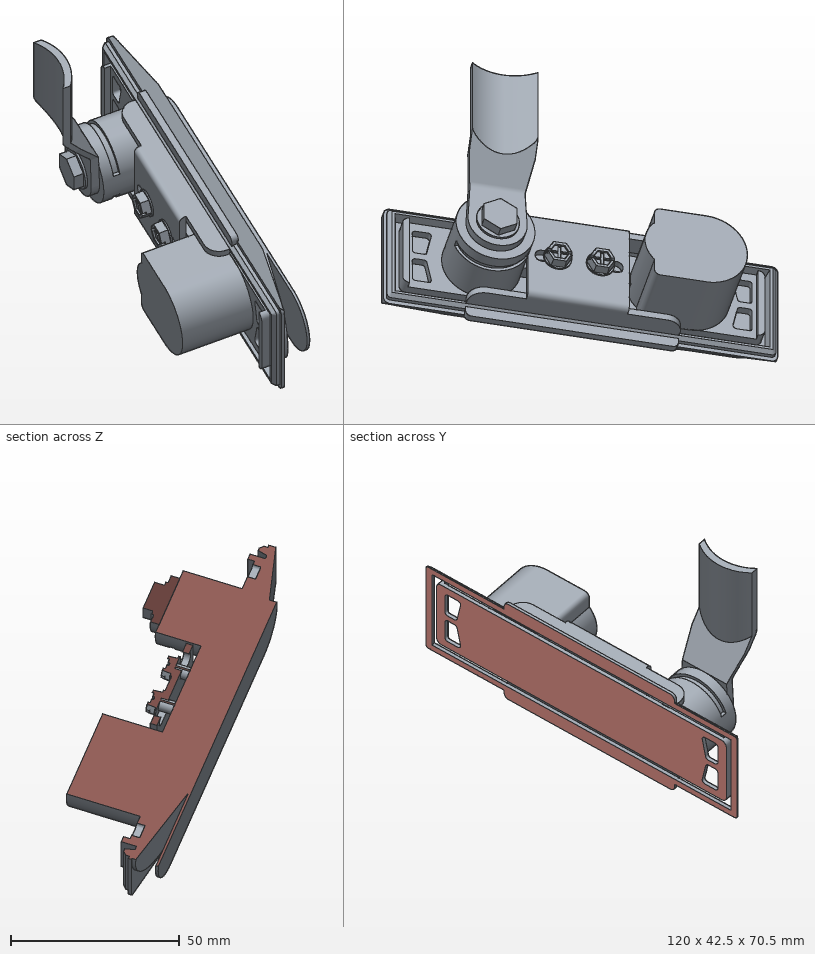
import cadquery as cq
import math


hex_sides = 6

plate_half_x = 60.0
plate_half_z = 18.0
plate_corner_radius = 2.0
lip_y = 2.3
rim_half_x = 59.15
rim_half_z = 16.65
rim_corner_radius = 1.2
rim_chamfer = 1.15
front_y = 9.8
front_left_x = -40.0
front_right_x = 31.3
front_half_z = 12.7
left_edge_y = 4.6
right_edge_y = 3.3

tab_left_x = -35.4
tab_right_x = 29.4
tab_half_z = 19.5
tab_corner_radius = 1.8
tab_back_y = 0.65
tab_thickness = 2.2

recess_half_x = 57.0
recess_half_z = 14.7
recess_depth = 3.0
recess_draft = 15.0
floor_y = 0.3
floor_half_x = 55.1
floor_half_z = 12.25
floor_corner_radius = 2.0
end_wall_thickness = 2.1
end_wall_y = -1.8
pocket_outer_x = 51.7
pocket_wide_x = 45.7
pocket_narrow_x = 47.4
pocket_top_z = 9.4
pocket_bottom_z = 1.1
pocket_depth = 2.5
pocket_corner_radius = 1.0

lock_x = -30.8
handle_radius = 11.0
handle_end_x = 48.8
handle_y = 11.7
grip_thickness = 0.9
slope_pad = 1.2

boss_diameter = 24.0
boss_y = -18.3
groove_diameter = 22.0
groove_start_y = -12.6
groove_width = 2.1
groove_land_half_z = 4.5

block_left_x = 16.5
block_half_z = 12.6
block_center_x = 32.2
block_y = -22.85
block_corner_radius = 1.8
bulge_diameter = 20.0
bulge_x = 23.6

rib_height = 4.0
rib_y = -4.0

clamp_left_x = -18.5
clamp_right_x = 12.3
clamp_half_z = 15.5
clamp_thickness = 2.2
clamp_bend_radius = 2.0
clamp_y = -8.4
flange_y = clamp_y + clamp_thickness
flange_corner_radius = 5.0
slot_width = 4.2
slot_left_x = -16.4
slot_right_x = 10.4

screw_xs = (-9.6, 3.4)
screw_diameter = 4.0
head_diameter = 8.5
head_height = 3.3
head_flange_thickness = 0.5
hex_base_corners = 8.4
hex_top_corners = 7.8
socket_corners = 5.8
socket_depth = 0.6
cross_width = 0.9
cross_depth = 1.2
cross_height = 5.0

cam_top_z = 51.0
cam_end_radius = 9.0
cam_neck_half_x = 8.4
cam_half_x = 10.0
cam_neck_z = 12.0
cam_outer_neck_z = 12.5
cam_shoulder_z = 20.6
cam_thickness = 2.7
cam_neck_bend_radius = 2.5
cam_blade_bend_radius = 4.0
blade_thickness = 2.5
blade_apex_y = -24.8
blade_radius = 16.0
blade_tip_y = -30.8

washer_diameter = 13.0
washer_thickness = 0.7
hex_across_flats = 10.0
hex_height = 3.1


def back_plane(y):
    """Workplane at height y whose extrusions grow towards -Y."""
    return cq.Workplane("XZ", origin=(0, y, 0))


def box_between(x0, x1, y0, y1, z0, z1):
    corner = (min(x0, x1), min(y0, y1), min(z0, z1))
    return cq.Workplane("XY").box(
        abs(x1 - x0), abs(y1 - y0), abs(z1 - z0), centered=False
    ).translate(corner)


def plate():
    """Front shell: sloped at both ends and along both long edges."""
    long_profile = [
        (-plate_half_x, lip_y),
        (-plate_half_x, left_edge_y),
        (front_left_x, front_y),
        (front_right_x, front_y),
        (plate_half_x, right_edge_y),
        (plate_half_x, lip_y),
    ]
    cross_profile = [
        (lip_y, plate_half_z),
        (front_y, front_half_z),
        (front_y, -front_half_z),
        (lip_y, -plate_half_z),
    ]
    long_solid = cq.Workplane("XY").polyline(long_profile).close().extrude(plate_half_z, both=True)
    cross_solid = cq.Workplane("YZ").polyline(cross_profile).close().extrude(plate_half_x, both=True)
    outline = (
        back_plane(front_y)
        .rect(2 * plate_half_x, 2 * plate_half_z)
        .extrude(front_y)
        .edges("|Y")
        .fillet(plate_corner_radius)
    )
    return long_solid.intersect(cross_solid).intersect(outline)


def rim():
    """Chamfered frame behind the lip of the plate."""
    return (
        back_plane(lip_y)
        .rect(2 * rim_half_x, 2 * rim_half_z)
        .extrude(lip_y)
        .edges("|Y")
        .fillet(rim_corner_radius)
        .faces("<Y")
        .chamfer(rim_chamfer)
    )


def tabs():
    tab_y = tab_back_y + tab_thickness
    slab = box_between(tab_left_x, tab_right_x, tab_back_y, tab_y, -tab_half_z, tab_half_z)
    return slab.edges("|Y").fillet(tab_corner_radius)


def handle_form():
    """Round-ended handle shape, with a wedge gap under its grip."""
    length = handle_end_x - lock_x
    stadium = (
        back_plane(handle_y)
        .center((lock_x + handle_end_x) / 2, 0)
        .slot2D(length + 2 * handle_radius, 2 * handle_radius)
        .extrude(handle_y - right_edge_y)
    )
    slope = (front_y - right_edge_y) / (plate_half_x - front_right_x)
    grip_y = handle_y - grip_thickness
    gap_start_x = front_right_x + (front_y + slope_pad - grip_y) / slope
    gap = (
        cq.Workplane("XY")
        .polyline([
            (gap_start_x, grip_y),
            (plate_half_x, grip_y),
            (plate_half_x, right_edge_y + slope_pad),
        ])
        .close()
        .extrude(plate_half_z, both=True)
    )
    return stadium.cut(gap)


def recess():
    """Channel around the raised floor in the back of the plate."""
    opening = (
        cq.Workplane("ZX")
        .rect(2 * recess_half_z, 2 * recess_half_x)
        .extrude(recess_depth, taper=recess_draft)
    )
    raised_floor = box_between(
        -floor_half_x, floor_half_x, floor_y, recess_depth, -floor_half_z, floor_half_z
    )
    return opening.cut(raised_floor.edges("|Y").fillet(floor_corner_radius))


def end_wall(side):
    inner_x = floor_half_x - end_wall_thickness
    wall = box_between(
        side * inner_x, side * floor_half_x, end_wall_y, recess_depth, -floor_half_z, floor_half_z
    )
    outer_face = ">X" if side > 0 else "<X"
    return wall.faces(outer_face).edges("|Y").fillet(floor_corner_radius)


def floor_pocket(side, half):
    outline = [
        (side * pocket_outer_x, half * pocket_top_z),
        (side * pocket_wide_x, half * pocket_top_z),
        (side * pocket_narrow_x, half * pocket_bottom_z),
        (side * pocket_outer_x, half * pocket_bottom_z),
    ]
    return (
        back_plane(floor_y + pocket_depth)
        .polyline(outline)
        .close()
        .extrude(pocket_depth)
        .edges("|Y")
        .fillet(pocket_corner_radius)
    )


def boss():
    body = back_plane(floor_y).center(lock_x, 0).circle(boss_diameter / 2).extrude(floor_y - boss_y)
    groove = (
        back_plane(groove_start_y)
        .center(lock_x, 0)
        .circle(boss_diameter / 2)
        .circle(groove_diameter / 2)
        .extrude(groove_width)
    )
    land = box_between(
        lock_x - boss_diameter, lock_x + boss_diameter,
        boss_y, 0,
        -groove_land_half_z, groove_land_half_z,
    )
    return body.cut(groove.cut(land))


def lock_block():
    """Block with a round end and a cylinder bulging from its flat end."""
    height = floor_y - block_y
    body = (
        back_plane(floor_y)
        .moveTo(block_left_x, -block_half_z)
        .lineTo(block_center_x, -block_half_z)
        .threePointArc((block_center_x + block_half_z, 0), (block_center_x, block_half_z))
        .lineTo(block_left_x, block_half_z)
        .close()
        .extrude(height)
        .edges("|Y and <X")
        .fillet(block_corner_radius)
    )
    bulge = back_plane(floor_y).center(bulge_x, 0).circle(bulge_diameter / 2).extrude(height)
    return body.union(bulge)


def rib():
    return box_between(lock_x, block_center_x, rib_y, floor_y, -rib_height / 2, rib_height / 2)


def make_housing():
    body = plate().union(rim()).union(tabs()).union(handle_form()).cut(recess())
    for side in (-1, 1):
        body = body.union(end_wall(side))
        for half in (-1, 1):
            body = body.cut(floor_pocket(side, half))
    return body.union(boss()).union(lock_block()).union(rib())


def clamp_flange(side):
    flange = box_between(
        tab_left_x, tab_right_x,
        0, flange_y,
        side * clamp_half_z, side * (clamp_half_z - clamp_thickness),
    )
    return flange.faces("<Y").edges("|Z").fillet(flange_corner_radius)


def clamp_slot(start_x, end_x):
    return (
        back_plane(flange_y)
        .center((start_x + end_x) / 2, 0)
        .slot2D(end_x - start_x, slot_width)
        .extrude(clamp_thickness)
    )


def screw(x):
    shank = back_plane(rib_y).center(x, 0).circle(screw_diameter / 2).extrude(rib_y - clamp_y)
    flange = back_plane(clamp_y).center(x, 0).circle(head_diameter / 2).extrude(head_flange_thickness)
    hexagon = (
        back_plane(clamp_y)
        .center(x, 0)
        .polygon(hex_sides, hex_base_corners)
        .workplane(offset=head_height)
        .polygon(hex_sides, hex_top_corners)
        .loft()
    )
    head = flange.union(hexagon)
    head_top_y = clamp_y - head_height
    socket = (
        back_plane(head_top_y + socket_depth)
        .center(x, 0)
        .polygon(hex_sides, socket_corners)
        .extrude(socket_depth)
    )
    cross = (
        back_plane(head_top_y + cross_depth)
        .center(x, 0)
        .rect(head_diameter, cross_width)
        .extrude(cross_depth)
        .union(
            back_plane(head_top_y + cross_depth)
            .center(x, 0)
            .rect(cross_width, cross_height)
            .extrude(cross_depth)
        )
    )
    return shank.union(head.cut(socket).cut(cross))


def make_clamp():
    """U-shaped clamp together with its two screws."""
    base = box_between(clamp_left_x, clamp_right_x, clamp_y, flange_y, -clamp_half_z, clamp_half_z)
    base = base.faces("<Y").edges("|X").fillet(clamp_bend_radius)
    body = base.union(clamp_flange(1)).union(clamp_flange(-1))
    left_screw_x, right_screw_x = screw_xs
    body = body.cut(clamp_slot(slot_left_x, left_screw_x + slot_width / 2))
    body = body.cut(clamp_slot(right_screw_x - slot_width / 2, slot_right_x))
    for x in screw_xs:
        body = body.union(screw(x))
    return body


def cam():
    """Flat rounded end, slanted neck and a blade that is curved across its width."""
    slant = (cam_shoulder_z - cam_neck_z) / (boss_y - blade_apex_y)
    base_y = boss_y - cam_thickness
    outer_tip_z = cam_outer_neck_z + (base_y - blade_tip_y) * slant
    side_profile = (
        cq.Workplane("YZ", origin=(lock_x, 0, 0))
        .polyline([
            (boss_y, -cam_end_radius),
            (boss_y, cam_neck_z),
            (blade_apex_y, cam_shoulder_z),
            (blade_apex_y, cam_top_z),
            (blade_tip_y, cam_top_z),
            (blade_tip_y, outer_tip_z),
            (base_y, cam_outer_neck_z),
            (base_y, -cam_end_radius),
        ])
        .close()
        .extrude(cam_half_x, both=True)
        .edges(
            cq.selectors.NearestToPointSelector((lock_x, base_y, cam_outer_neck_z))
        )
        .fillet(cam_neck_bend_radius)
        .edges(
            cq.selectors.NearestToPointSelector((lock_x, blade_tip_y, outer_tip_z))
        )
        .fillet(cam_blade_bend_radius)
    )
    outline = (
        back_plane(boss_y)
        .center(lock_x, 0)
        .moveTo(-cam_end_radius, 0)
        .threePointArc((0, -cam_end_radius), (cam_end_radius, 0))
        .lineTo(cam_neck_half_x, cam_neck_z)
        .lineTo(cam_half_x, cam_shoulder_z)
        .lineTo(cam_half_x, cam_top_z)
        .lineTo(-cam_half_x, cam_top_z)
        .lineTo(-cam_half_x, cam_shoulder_z)
        .lineTo(-cam_neck_half_x, cam_neck_z)
        .close()
        .extrude(boss_y - blade_tip_y)
    )
    hollow = (
        cq.Workplane("XY")
        .center(lock_x, blade_apex_y - blade_thickness - blade_radius)
        .circle(blade_radius)
        .extrude(cam_top_z)
    )
    above_slant = (
        cq.Workplane("YZ", origin=(lock_x, 0, 0))
        .polyline([
            (blade_apex_y, cam_shoulder_z),
            (blade_apex_y, cam_top_z),
            (blade_tip_y, cam_top_z),
            (blade_tip_y, cam_shoulder_z + (blade_apex_y - blade_tip_y) * slant),
        ])
        .close()
        .extrude(cam_half_x, both=True)
    )
    blade_front = (
        cq.Workplane("XY")
        .center(lock_x, blade_apex_y - blade_radius)
        .circle(blade_radius)
        .extrude(cam_top_z)
    )
    outside_blade = above_slant.cut(blade_front)
    return side_profile.intersect(outline).cut(hollow).cut(outside_blade)


def bolt():
    hex_across_corners = hex_across_flats / math.cos(math.pi / hex_sides)
    washer_y = boss_y - cam_thickness
    washer = back_plane(washer_y).center(lock_x, 0).circle(washer_diameter / 2).extrude(washer_thickness)
    head = (
        back_plane(washer_y - washer_thickness)
        .center(lock_x, 0)
        .transformed(rotate=(0, 0, 180 / hex_sides))
        .polygon(hex_sides, hex_across_corners)
        .extrude(hex_height)
    )
    return washer.union(head)


def make_cam_and_bolt():
    return cam().union(bolt())


housing = make_housing()
clamp = make_clamp()
cam_and_bolt = make_cam_and_bolt()
bodies = [housing, clamp, cam_and_bolt]
result = cq.Compound.makeCompound([solid for body in bodies for solid in body.solids().vals()])